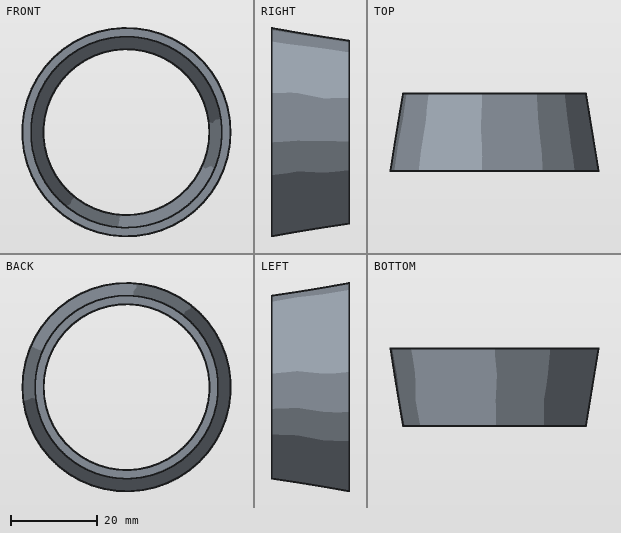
import cadquery as cq

length = 18.0
large_diameter = 48.3
small_diameter = 42.4
wall = 2.05

large_radius = large_diameter / 2
small_radius = small_diameter / 2

wall_section = (
    cq.Workplane("XY")
    .moveTo(large_radius - wall, 0)
    .lineTo(large_radius, 0)
    .lineTo(small_radius, length)
    .lineTo(small_radius - wall, length)
    .close()
)

result = wall_section.revolve(360, (0, 0, 0), (0, 1, 0))